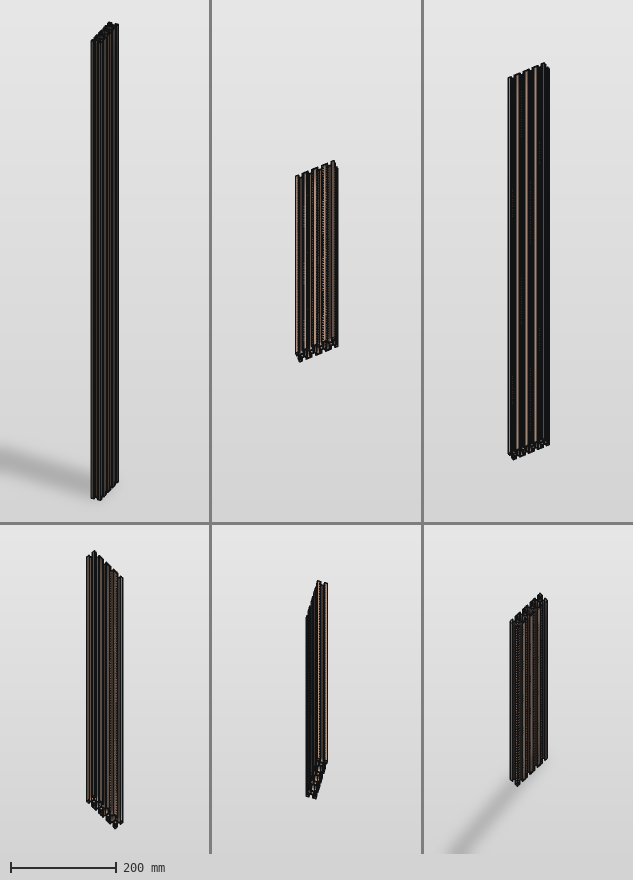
import cadquery as cq

length = 1000.0
cell = 20.0
cell_count = 4
wall = 1.7
core_width = 8.3
bore_diameter = 5.5
throat_width = 7.4
floor_width = 5.7
hollow_width = 5.7

half_cell = cell / 2
core_half = core_width / 2
throat_half = throat_width / 2
floor_half = floor_width / 2
hollow_half = hollow_width / 2

skin_inside = half_cell - wall
pocket_half = half_cell - hollow_half - wall
rib_offset = core_half - floor_half
hollow_reach = half_cell - core_half

cell_centres = [(i - (cell_count - 1) / 2) * cell for i in range(cell_count)]
cell_boundaries = [y + half_cell for y in cell_centres[:-1]]
end_centre = cell_centres[-1]


def mirrored(upper_half):
    """Complete an outline by mirroring its +y half about y = 0."""
    return upper_half + [(x, -y) for x, y in reversed(upper_half)]


def channel(outline):
    """Full-length prism with the given cross-section."""
    return cq.Workplane("XY").polyline(outline).close().extrude(length)


def slot(y_centre, angle):
    """T-slot of the cell at y_centre, opening at the given angle from +X."""
    outline = mirrored([
        (core_half, floor_half),
        (pocket_half + rib_offset, pocket_half),
        (skin_inside, pocket_half),
        (skin_inside, throat_half),
        (half_cell, throat_half),
    ])
    return channel(outline).rotate((0, 0, 0), (0, 0, 1), angle).translate((0, y_centre, 0))


def hollow(y_boundary):
    """Closed cross-shaped channel between two neighbouring cells."""
    right_side = mirrored([
        (floor_half, hollow_reach),
        (half_cell - hollow_half - rib_offset, hollow_half),
        (skin_inside, hollow_half),
    ])
    left_side = [(-x, -y) for x, y in right_side]
    return channel(right_side + left_side).translate((0, y_boundary, 0))


result = cq.Workplane("XY").rect(cell, cell * cell_count).extrude(length)

for y_centre in cell_centres:
    result = result.cut(slot(y_centre, 0))
    result = result.cut(slot(y_centre, 180))
result = result.cut(slot(end_centre, 90))
result = result.cut(slot(-end_centre, -90))

for y_boundary in cell_boundaries:
    result = result.cut(hollow(y_boundary))

bore_points = [(0, y_centre) for y_centre in cell_centres]
bores = cq.Workplane("XY").pushPoints(bore_points).circle(bore_diameter / 2).extrude(length)
result = result.cut(bores)